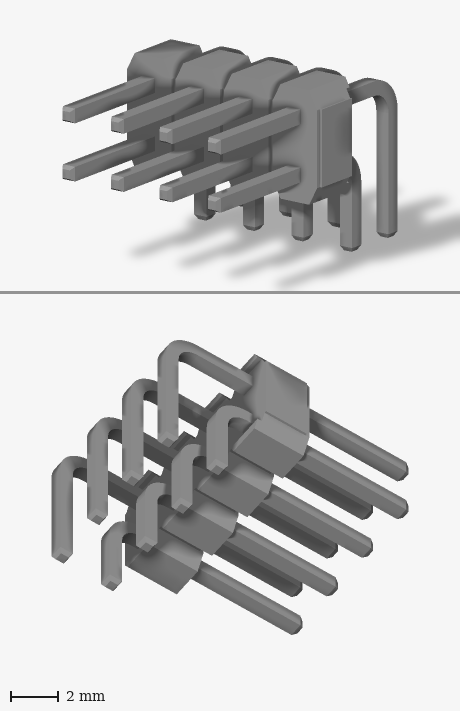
import cadquery as cq


overall_length = 10.16
columns = 4
pitch = overall_length / columns
row_heights = (pitch / 2, -pitch / 2)
column_places = [(index - (columns - 1) / 2) * pitch for index in range(columns)]

block_width = 2.34
block_top_width = 1.51
block_depth = 2.52
block_height = 5.0
web_height = 3.4
web_setback = 0.2
recess_depth = 0.23
recess_height = 4.15

overall_depth = 12.56
overall_height = 8.04
pin_width = 0.64
tip_width = 0.39
tip_length = 0.21
bend_outer_radius = 1.63
bend_inner_radius = bend_outer_radius - pin_width
front_reach = 5.8

front_tip_y = -front_reach
upper_leg_y = front_tip_y + overall_depth - pin_width / 2
leg_tip_z = block_height / 2 - overall_height


def extrude_along_y(profile, front_y, rear_y):
    """Extrude an XZ profile between two Y positions."""
    return profile.extrude(front_y - rear_y).translate((0, front_y, 0))


def make_block(x):
    """One housing block: a rectangle with its four corners sloped off."""
    half_width = block_width / 2
    half_top = block_top_width / 2
    half_height = block_height / 2
    half_side = web_height / 2
    outline = [
        (half_top, half_height),
        (half_width, half_side),
        (half_width, -half_side),
        (half_top, -half_height),
        (-half_top, -half_height),
        (-half_width, -half_side),
        (-half_width, half_side),
        (-half_top, half_height),
    ]
    profile = cq.Workplane("XZ").polyline(outline).close()
    return extrude_along_y(profile, 0, block_depth).translate((x, 0, 0))


def make_housing():
    """Blocks joined by a web, with a rear channel and a square hole for each pin."""
    web_profile = cq.Workplane("XZ").rect(overall_length, web_height)
    housing = extrude_along_y(web_profile, web_setback, block_depth)
    for x in column_places:
        housing = housing.union(make_block(x))

    recess_profile = cq.Workplane("XZ").rect(overall_length, recess_height)
    housing = housing.cut(extrude_along_y(recess_profile, block_depth - recess_depth, block_depth))

    hole_centres = [(x, z) for x in column_places for z in row_heights]
    hole_profile = cq.Workplane("XZ").pushPoints(hole_centres).rect(pin_width, pin_width)
    return housing.cut(extrude_along_y(hole_profile, 0, block_depth))


def make_tip(base_centre, direction):
    """Tapered square end that narrows along the given direction."""
    base = cq.Plane(origin=base_centre, xDir=(1, 0, 0), normal=direction)
    return (
        cq.Workplane(base)
        .rect(pin_width, pin_width)
        .workplane(offset=tip_length)
        .rect(tip_width, tip_width)
        .loft(ruled=True)
    )


def make_pin(x, z, leg_y):
    """Square pin running back along Y at height z, then bent down into a leg at leg_y."""
    half = pin_width / 2
    straight_front = front_tip_y + tip_length
    leg_bottom = leg_tip_z + tip_length
    bend_y = leg_y + half - bend_outer_radius
    bend_z = z + half - bend_outer_radius

    front_bar = cq.Workplane("XY").box(
        pin_width, bend_y - straight_front, pin_width
    ).translate((x, (bend_y + straight_front) / 2, z))
    leg = cq.Workplane("XY").box(
        pin_width, pin_width, bend_z - leg_bottom
    ).translate((x, leg_y, (bend_z + leg_bottom) / 2))

    bend = (
        cq.Workplane("YZ", origin=(x - half, bend_y, bend_z))
        .circle(bend_outer_radius)
        .circle(bend_inner_radius)
        .extrude(pin_width)
    )
    quarter = cq.Workplane("XY").box(
        pin_width, bend_outer_radius, bend_outer_radius, centered=(True, False, False)
    ).translate((x, bend_y, bend_z))

    front_tip = make_tip((x, straight_front, z), (0, -1, 0))
    leg_tip = make_tip((x, leg_y, leg_bottom), (0, 0, -1))
    return front_bar.union(bend.intersect(quarter)).union(leg).union(front_tip).union(leg_tip)


housing = make_housing()

pins = []
for x in column_places:
    for row, z in enumerate(row_heights):
        pins.append(make_pin(x, z, upper_leg_y - row * pitch))

result = cq.Compound.makeCompound([housing.val(), *[pin.val() for pin in pins]])